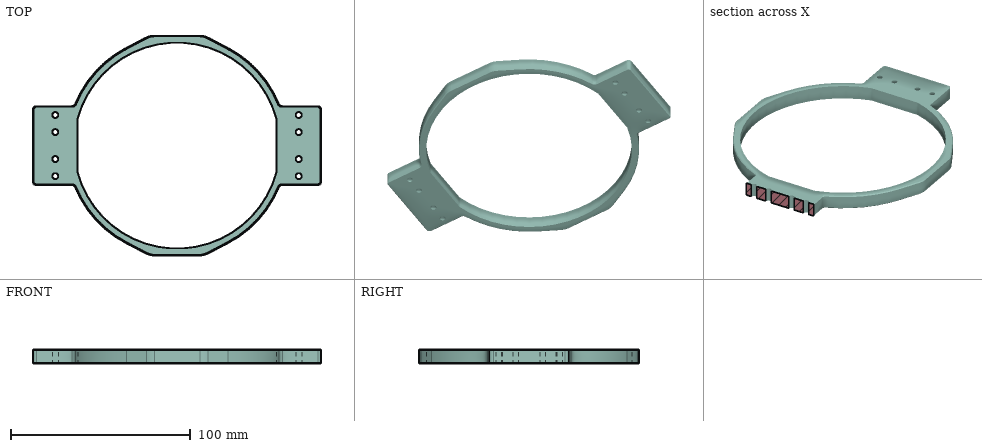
import cadquery as cq
import math

thickness = 8.0
edge_chamfer = 0.5

ring_outer_radius = 61.2
ring_wall = 4.0
bore_radius = ring_outer_radius - ring_wall
bore_flat_x = 55.2

bulge_half_width = 15.0
bulge_corner_radius = 10.0

pad_end_x = 80.2
pad_half_width = 22.0
pad_corner_radius = 2.0
pad_root_radius = 2.0

hole_diameter = 3.2
hole_x = (bore_flat_x + pad_end_x) / 2
hole_y_offsets = (7.5, 17.0)


def pad_bar():
    """Rectangle along X whose two ends form the mounting pads."""
    bar = cq.Workplane("XY").rect(2 * pad_end_x, 2 * pad_half_width).extrude(thickness)
    return bar.edges("|Z").fillet(pad_corner_radius)


def bulge(side):
    """Five-sided block from the ring centre to the flat at Y = side * outer radius.

    Each sloped side is the second tangent from the flat's corner to the outer circle.
    """
    tangent_angle = 2 * math.atan(bulge_half_width / ring_outer_radius)
    tangent_x = ring_outer_radius * math.sin(tangent_angle)
    tangent_y = side * ring_outer_radius * math.cos(tangent_angle)
    flat_y = side * ring_outer_radius
    body = (
        cq.Workplane("XY")
        .polyline([
            (0, 0),
            (tangent_x, tangent_y),
            (bulge_half_width, flat_y),
            (-bulge_half_width, flat_y),
            (-tangent_x, tangent_y),
        ])
        .close()
        .extrude(thickness)
    )
    flat_face = ">Y" if side > 0 else "<Y"
    return body.faces(flat_face).edges("|Z").fillet(bulge_corner_radius)


def outer_body():
    """Solid outline of ring, bulges and pads, with rounded roots and chamfered rims."""
    disc = cq.Workplane("XY").circle(ring_outer_radius).extrude(thickness)
    body = disc.union(pad_bar())
    root_x = math.sqrt(ring_outer_radius**2 - pad_half_width**2)
    for side_x in (-1, 1):
        for side_y in (-1, 1):
            root = (side_x * root_x, side_y * pad_half_width, thickness / 2)
            body = body.edges(cq.NearestToPointSelector(root)).fillet(pad_root_radius)
    for side in (-1, 1):
        body = body.union(bulge(side))
    return body.faces("<Z or >Z").edges().chamfer(edge_chamfer)


def bore():
    """Round opening limited by a flat in front of each pad."""
    round_bore = cq.Workplane("XY").circle(bore_radius).extrude(thickness)
    flats = cq.Workplane("XY").rect(2 * bore_flat_x, 2 * bore_radius).extrude(thickness)
    return round_bore.intersect(flats)


def screw_holes():
    """Through holes in both pads."""
    centres = [
        (side_x * hole_x, side_y * y)
        for side_x in (-1, 1)
        for side_y in (-1, 1)
        for y in hole_y_offsets
    ]
    return cq.Workplane("XY").pushPoints(centres).circle(hole_diameter / 2).extrude(thickness)


result = outer_body().cut(bore()).cut(screw_holes())